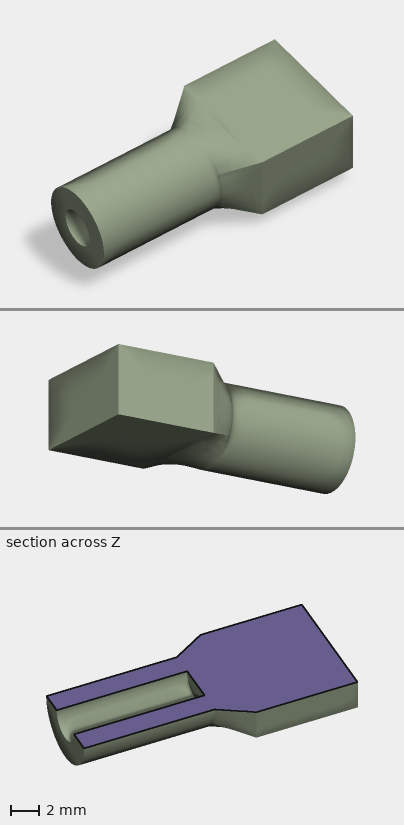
import cadquery as cq
import math

total_length = 20.62
block_width = 9.4
block_height = 5.24
block_length = 7.9
block_rise = 0.29
barrel_diameter = 6.37
barrel_length = 10.17
bore_diameter = 2.87
bore_depth = barrel_length

barrel_radius = barrel_diameter / 2
neck_length = total_length - block_length - barrel_length
corner_angle = math.degrees(math.atan2(block_height, block_width))


def section_plane(y):
    """Plane facing +Y, with local x along -X and local y along +Z."""
    return cq.Plane(origin=(0, y, 0), xDir=(-1, 0, 0), normal=(0, 1, 0))


def circle_point(angle):
    a = math.radians(angle)
    return (barrel_radius * math.cos(a), barrel_radius * math.sin(a))


def make_barrel():
    return cq.Workplane(section_plane(0)).circle(barrel_radius).extrude(barrel_length)


def make_block():
    return (
        cq.Workplane(section_plane(barrel_length + neck_length))
        .center(0, block_rise)
        .rect(block_width, block_height)
        .extrude(block_length)
    )


def make_neck():
    """Blend from the round barrel to the four corners of the block."""
    half_width = block_width / 2
    top = block_rise + block_height / 2
    bottom = block_rise - block_height / 2
    round_end = (
        cq.Workplane(section_plane(barrel_length))
        .moveTo(*circle_point(-corner_angle))
        .threePointArc(circle_point(0), circle_point(corner_angle))
        .threePointArc(circle_point(90), circle_point(180 - corner_angle))
        .threePointArc(circle_point(180), circle_point(180 + corner_angle))
        .threePointArc(circle_point(270), circle_point(-corner_angle))
        .wire()
    )
    square_end = (
        cq.Workplane(section_plane(barrel_length + neck_length))
        .moveTo(half_width, bottom)
        .lineTo(half_width, top)
        .lineTo(-half_width, top)
        .lineTo(-half_width, bottom)
        .close()
    )
    return cq.Workplane(cq.Solid.makeLoft([round_end.val(), square_end.val()], True))


def make_bore():
    """Blind bore entering the free end of the barrel."""
    return cq.Workplane(section_plane(0)).circle(bore_diameter / 2).extrude(bore_depth)


result = make_barrel().union(make_neck()).union(make_block()).cut(make_bore())